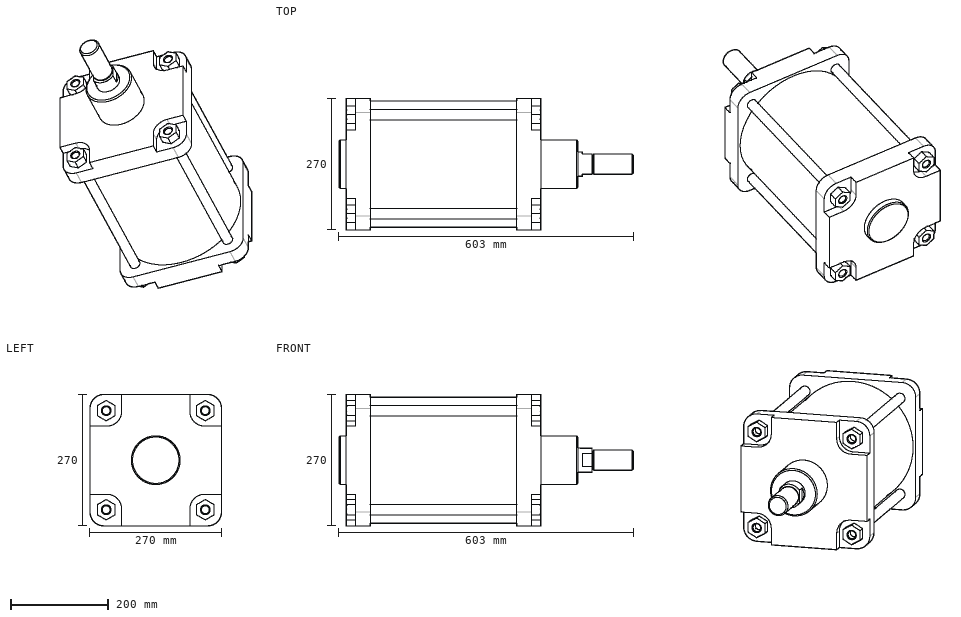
import cadquery as cq
import math

COVER_SIDE = 270.0
COVER_THICKNESS = 50.0
COVER_CORNER_RADIUS = 29.0
POCKET_SIDE = 65.0
POCKET_CORNER_RADIUS = 30.0
POCKET_DEPTH = 19.0

BOSS_DIAMETER = 100.0
REAR_BOSS_LENGTH = 14.0
REAR_BOSS_CHAMFER = 2.5
FRONT_BOSS_LENGTH = 76.0
FRONT_BOSS_CHAMFER = 3.0

BARREL_LENGTH = 299.5
BARREL_DIAMETER = 259.0

TIE_ROD_PITCH = 203.0
TIE_ROD_DIAMETER = 21.0
NUT_ACROSS_FLATS = 36.0
NUT_HEIGHT = 18.0
NUT_HOLE_DIAMETER = 16.0
NUT_HOLE_CHAMFER = 2.0
NUT_HOLE_DEPTH = NUT_HEIGHT

OVERALL_LENGTH = 603.0
ROD_DIAMETER = 50.0
ROD_COLLAR_LENGTH = 9.0
ROD_FLAT_LENGTH = 20.0
ROD_ACROSS_FLATS = 42.0
THREAD_DIAMETER = 42.0
NECK_DIAMETER = 38.5
NECK_LENGTH = 2.0
THREAD_START_CHAMFER = (THREAD_DIAMETER - NECK_DIAMETER) / 2
TIP_CHAMFER = 3.0

REAR_COVER_X = REAR_BOSS_LENGTH
BARREL_X = REAR_COVER_X + COVER_THICKNESS
FRONT_COVER_X = BARREL_X + BARREL_LENGTH
FRONT_FACE_X = FRONT_COVER_X + COVER_THICKNESS
ROD_X = FRONT_FACE_X + FRONT_BOSS_LENGTH

CORNERS = [(y, z) for y in (-1, 1) for z in (-1, 1)]
TIE_ROD_CENTERS = [(y * TIE_ROD_PITCH / 2, z * TIE_ROD_PITCH / 2) for y, z in CORNERS]


def plane_at(x):
    """Workplane across the cylinder axis at x: local axes are Y and Z, extrusion runs toward +X."""
    return cq.Workplane("YZ", origin=(x, 0, 0))


def make_cover_block(start_x, pocket_x):
    """Rounded square block from start_x toward +X, with corner pockets from pocket_x and tie rod holes."""
    block = (
        plane_at(start_x)
        .rect(COVER_SIDE, COVER_SIDE)
        .extrude(COVER_THICKNESS)
        .edges("|X")
        .fillet(COVER_CORNER_RADIUS)
    )
    pocket_center = COVER_SIDE / 2
    pocket_centers = [(y * pocket_center, z * pocket_center) for y, z in CORNERS]
    pockets = (
        plane_at(pocket_x)
        .pushPoints(pocket_centers)
        .rect(2 * POCKET_SIDE, 2 * POCKET_SIDE)
        .extrude(POCKET_DEPTH)
        .edges("|X")
        .fillet(POCKET_CORNER_RADIUS)
    )
    rod_holes = (
        plane_at(start_x)
        .pushPoints(TIE_ROD_CENTERS)
        .circle(TIE_ROD_DIAMETER / 2)
        .extrude(COVER_THICKNESS)
    )
    return block.cut(pockets).cut(rod_holes)


def make_rear_cover():
    boss = (
        plane_at(0)
        .circle(BOSS_DIAMETER / 2)
        .extrude(REAR_BOSS_LENGTH)
        .faces("<X")
        .chamfer(REAR_BOSS_CHAMFER)
    )
    return make_cover_block(REAR_COVER_X, REAR_COVER_X).union(boss)


def make_front_cover():
    boss = (
        plane_at(FRONT_FACE_X)
        .circle(BOSS_DIAMETER / 2)
        .extrude(FRONT_BOSS_LENGTH)
        .faces(">X")
        .chamfer(FRONT_BOSS_CHAMFER)
    )
    return make_cover_block(FRONT_COVER_X, FRONT_FACE_X - POCKET_DEPTH).union(boss)


def make_barrel():
    return plane_at(BARREL_X).circle(BARREL_DIAMETER / 2).extrude(BARREL_LENGTH)


def make_nut(x):
    """Hexagon with two flats facing +Y and -Y and a corner pointing up."""
    corner_radius = NUT_ACROSS_FLATS / math.sqrt(3)
    angles = [math.radians(30 + 60 * i) for i in range(6)]
    corners = [(corner_radius * math.cos(a), corner_radius * math.sin(a)) for a in angles]
    return plane_at(x).polyline(corners).close().extrude(NUT_HEIGHT)


def make_nut_hole(face_x, inward):
    """Chamfered blind hole that starts at face_x; inward is +1 or -1 along X."""
    radius = NUT_HOLE_DIAMETER / 2
    mouth_radius = radius + NUT_HOLE_CHAMFER
    return (
        cq.Workplane("XY")
        .moveTo(face_x, 0)
        .lineTo(face_x, mouth_radius)
        .lineTo(face_x + inward * NUT_HOLE_CHAMFER, radius)
        .lineTo(face_x + inward * NUT_HOLE_DEPTH, radius)
        .lineTo(face_x + inward * NUT_HOLE_DEPTH, 0)
        .close()
        .revolve(360, (0, 0, 0), (1, 0, 0))
    )


def make_tie_rod(y, z):
    """Rod through both covers with a nut seated in the pocket at each end."""
    rear_seat_x = REAR_COVER_X + POCKET_DEPTH
    front_seat_x = FRONT_FACE_X - POCKET_DEPTH
    rear_nut_x = rear_seat_x - NUT_HEIGHT
    front_nut_x = front_seat_x + NUT_HEIGHT
    rod = plane_at(rear_seat_x).circle(TIE_ROD_DIAMETER / 2).extrude(front_seat_x - rear_seat_x)
    tie_rod = (
        rod.union(make_nut(rear_nut_x))
        .union(make_nut(front_seat_x))
        .cut(make_nut_hole(rear_nut_x, 1))
        .cut(make_nut_hole(front_nut_x, -1))
    )
    return tie_rod.translate((0, y, z))


def make_piston_rod():
    """Stepped rod end standing on the front boss: collar, wrench flats, neck groove and chamfered thread."""
    rod_radius = ROD_DIAMETER / 2
    neck_radius = NECK_DIAMETER / 2
    thread_radius = THREAD_DIAMETER / 2
    flats_x = ROD_X + ROD_COLLAR_LENGTH
    shoulder_x = flats_x + ROD_FLAT_LENGTH
    neck_end_x = shoulder_x + NECK_LENGTH
    rod = (
        cq.Workplane("XY")
        .moveTo(ROD_X, 0)
        .lineTo(ROD_X, rod_radius)
        .lineTo(shoulder_x, rod_radius)
        .lineTo(shoulder_x, neck_radius)
        .lineTo(neck_end_x, neck_radius)
        .lineTo(neck_end_x + THREAD_START_CHAMFER, thread_radius)
        .lineTo(OVERALL_LENGTH - TIP_CHAMFER, thread_radius)
        .lineTo(OVERALL_LENGTH, thread_radius - TIP_CHAMFER)
        .lineTo(OVERALL_LENGTH, 0)
        .close()
        .revolve(360, (0, 0, 0), (1, 0, 0))
    )
    slab_center = (ROD_ACROSS_FLATS + ROD_DIAMETER) / 2
    flat_cuts = (
        plane_at(flats_x)
        .pushPoints([(-slab_center, 0), (slab_center, 0)])
        .rect(ROD_DIAMETER, ROD_DIAMETER)
        .extrude(ROD_FLAT_LENGTH)
    )
    return rod.cut(flat_cuts)


rear_cover = make_rear_cover()
barrel = make_barrel()
front_cover = make_front_cover()
piston_rod = make_piston_rod()
tie_rods = [make_tie_rod(y, z) for y, z in TIE_ROD_CENTERS]

result = cq.Compound.makeCompound(
    [
        rear_cover.val(),
        barrel.val(),
        front_cover.val(),
        piston_rod.val(),
        *[tie_rod.val() for tie_rod in tie_rods],
    ]
)